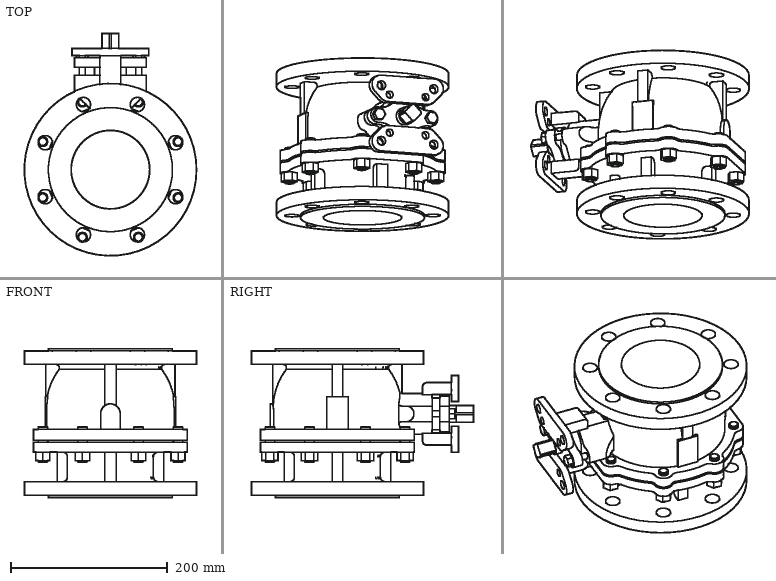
import cadquery as cq
import math


total_height = 190.0
bore_radius = 50.0

flange_radius = 220.0 / 2
flange_thickness = 17.3
raised_face_radius = 79.2
raised_face_height = 2.8
flange_bolt_circle_radius = 90.0
flange_hole_diameter = 18.2
bolt_count = 8
hex_sides = 6

joint_bolt_circle_radius = 93.5
joint_lobe_radius = 12.0
joint_disc_radius = 95.0
joint_fillet = 8.5
cap_plate_bottom = 58.0
cap_plate_top = 70.7
body_plate_bottom = 73.0
body_plate_top = 87.0
gasket_radius = 80.0
bolt_radius = 12.2 / 2
bolt_end_chamfer = 1.0
bolt_bottom = 45.0
bolt_top = 90.5
nut_across_flats = 18.2
nut_bottom = 47.1

cap_neck_radius = 55.5
cap_neck_fillet = 6.0
chamber_radius = 82.5
sphere_center_z = 114.2
body_neck_radius = 65.5
body_neck_fillet = 4.3

body_rib_reach = 82.6
cap_rib_reach = 68.2
x_rib_width = 13.5
y_rib_width = 15.0
side_pad_width = 27.5
side_pad_reach = 83.5
side_pad_top = 128.7
front_pad_width = 25.0
front_pad_reach = 86.0
front_pad_top = 119.5

stem_z = 106.8
ear_offset = 36.0
ear_radius = 10.0
housing_half_height = 26.0
housing_half_diagonal = 38.0
housing_ear_fillet = 7.0
housing_root_y = 56.8
housing_end_y = 120.7
ear_relief_offset = 51.7
gland_disc_radius = 45.7 / 2
gland_ear_fillet = 25.5
gland_start_y = 130.5
gland_end_y = 142.9
sleeve_radius = 20.5
stud_radius = 4.0
stud_head_across_flats = 13.0
stud_head_height = 6.8
stem_radius = 22.0 / 2
stem_square = 17.0
stem_square_start_y = 152.0
overall_length = 284
stem_length = overall_length - flange_radius

bracket_start_y = 145.5
bracket_end_y = 154.8
bracket_corner_offset = 37.0
bracket_corner_radius = 12.2
bracket_inner_edge = 15.5
outer_hole_offset = 36.0
outer_hole_diameter = 11.0
inner_hole_offset = 24.7
inner_hole_diameter = 9.0
tab_width = 27.0
tab_inner_edge = 24.5
tab_outer_edge = 40.0
tab_start_y = 108.5
tab_corner_radius = 5.7

bottom_flange_top = raised_face_height + flange_thickness
top_flange_bottom = total_height - bottom_flange_top
diagonal = math.sqrt(0.5)
half_pitch = math.pi / bolt_count
bolt_angles = [(2 * i + 1) * half_pitch for i in range(bolt_count)]


def cylinder(radius, z_start, z_end):
    return cq.Workplane("XY").workplane(offset=z_start).circle(radius).extrude(z_end - z_start)


def block(x_range, y_range, z_range):
    (x0, x1), (y0, y1), (z0, z1) = x_range, y_range, z_range
    return cq.Workplane("XY").box(x1 - x0, y1 - y0, z1 - z0, centered=False).translate((x0, y0, z0))


def stem_plane(y_start):
    """Plane across the stem axis: local x is -X, local y is Z, and the normal is +Y."""
    return cq.Workplane(cq.Plane(origin=(0, y_start, stem_z), xDir=(-1, 0, 0), normal=(0, 1, 0)))


def polar(radius, angle):
    return (radius * math.cos(angle), radius * math.sin(angle))


def ring_points(radius):
    return [polar(radius, angle) for angle in bolt_angles]


def toward(start, end, distance):
    """Point at a distance from start along the line to end."""
    ratio = distance / math.dist(start, end)
    return (start[0] + ratio * (end[0] - start[0]), start[1] + ratio * (end[1] - start[1]))


def mirrored_four_ways(outline, start_y, end_y):
    """Extrude a quadrant outline along the stem and mirror it left-right and up-down."""
    quarter = outline(stem_plane(start_y)).extrude(end_y - start_y)
    half = quarter.union(quarter.mirror("YZ"))
    return half.union(half.mirror("XY", (0, 0, stem_z)))


def pipe_flange():
    plate = cylinder(flange_radius, raised_face_height, bottom_flange_top)
    holes = (
        cq.Workplane("XY")
        .pushPoints(ring_points(flange_bolt_circle_radius))
        .circle(flange_hole_diameter / 2)
        .extrude(bottom_flange_top)
    )
    return plate.cut(holes).union(cylinder(raised_face_radius, 0, raised_face_height))


def chamber():
    sphere_top_z = sphere_center_z + math.sqrt(chamber_radius**2 - body_neck_radius**2)
    mid_angle = math.acos(body_neck_radius / chamber_radius) / 2
    arc_middle = (
        chamber_radius * math.cos(mid_angle),
        sphere_center_z + chamber_radius * math.sin(mid_angle),
    )
    return (
        cq.Workplane("XZ")
        .moveTo(0, body_plate_bottom)
        .lineTo(chamber_radius, body_plate_bottom)
        .lineTo(chamber_radius, sphere_center_z)
        .threePointArc(arc_middle, (body_neck_radius, sphere_top_z))
        .lineTo(body_neck_radius, top_flange_bottom - body_neck_fillet)
        .radiusArc((body_neck_radius + body_neck_fillet, top_flange_bottom), body_neck_fillet)
        .lineTo(0, top_flange_bottom)
        .close()
        .revolve(360, (0, 0), (0, 1))
    )


def cap_neck():
    foot_radius = cap_neck_radius + cap_neck_fillet
    return (
        cq.Workplane("XZ")
        .moveTo(0, bottom_flange_top)
        .lineTo(foot_radius, bottom_flange_top)
        .radiusArc((cap_neck_radius, bottom_flange_top + cap_neck_fillet), cap_neck_fillet)
        .lineTo(cap_neck_radius, cap_plate_bottom - cap_neck_fillet)
        .radiusArc((foot_radius, cap_plate_bottom), cap_neck_fillet)
        .lineTo(0, cap_plate_bottom)
        .close()
        .revolve(360, (0, 0), (0, 1))
    )


def rib_cross(reach, z_start, z_end):
    z_range = (z_start, z_end)
    x_ribs = block((-reach, reach), (-x_rib_width / 2, x_rib_width / 2), z_range)
    y_ribs = block((-y_rib_width / 2, y_rib_width / 2), (-reach, reach), z_range)
    return x_ribs.union(y_ribs)


def side_pads():
    return block(
        (-side_pad_reach, side_pad_reach),
        (-side_pad_width / 2, side_pad_width / 2),
        (body_plate_bottom, side_pad_top),
    )


def front_pad():
    half_width = front_pad_width / 2
    return (
        cq.Workplane("XZ")
        .moveTo(-half_width, body_plate_bottom)
        .lineTo(-half_width, front_pad_top - half_width)
        .threePointArc((0, front_pad_top), (half_width, front_pad_top - half_width))
        .lineTo(half_width, body_plate_bottom)
        .close()
        .extrude(front_pad_reach)
    )


def joint_plate(z_start, z_end):
    """Disc with a lobe at each bolt, blended by fillets and closed by flats across +Y and -Y."""
    height = z_end - z_start
    fillet_reach = joint_disc_radius + joint_fillet
    lobe_reach = joint_lobe_radius + joint_fillet
    cos_offset = (joint_bolt_circle_radius**2 + fillet_reach**2 - lobe_reach**2) / (
        2 * joint_bolt_circle_radius * fillet_reach
    )
    offset_angle = math.acos(cos_offset)
    disc = cylinder(joint_disc_radius, z_start, z_end)
    base = cq.Workplane("XY").workplane(offset=z_start)
    plate = disc.union(
        base.pushPoints(ring_points(joint_bolt_circle_radius)).circle(joint_lobe_radius).extrude(height)
    )
    for lobe_angle in bolt_angles:
        lobe = polar(joint_bolt_circle_radius, lobe_angle)
        for side in (-1, 1):
            center = polar(fillet_reach, lobe_angle + side * offset_angle)
            on_disc = toward(center, (0, 0), joint_fillet)
            on_lobe = toward(center, lobe, joint_fillet)
            web = base.polyline([(0, 0), on_disc, center, on_lobe, lobe]).close().extrude(height)
            scoop = base.center(*center).circle(joint_fillet).extrude(height)
            plate = plate.union(web.cut(scoop))
    flat_half_width = joint_bolt_circle_radius * math.sin(half_pitch)
    flat_reach = joint_bolt_circle_radius * math.cos(half_pitch) + joint_lobe_radius
    flats = block((-flat_half_width, flat_half_width), (-flat_reach, flat_reach), (z_start, z_end))
    return plate.union(flats)


def joint_bolts():
    bolt = cylinder(bolt_radius, bolt_bottom, bolt_top).faces("<Z or >Z").chamfer(bolt_end_chamfer)
    nut = (
        cq.Workplane("XY")
        .workplane(offset=nut_bottom)
        .polygon(hex_sides, nut_across_flats, circumscribed=True)
        .extrude(cap_plate_bottom - nut_bottom)
    )
    fastener = bolt.union(nut)
    bolts = cq.Workplane("XY")
    for x, y in ring_points(joint_bolt_circle_radius):
        bolts = bolts.add(fastener.translate((x, y, 0)))
    return bolts.combine()


def ears(start_y, end_y):
    """Straight bar with a round ear at each end."""
    ear_span = 2 * (ear_offset + ear_radius)
    return stem_plane(start_y).slot2D(ear_span, 2 * ear_radius).extrude(end_y - start_y)


def ear_web(fillet_x, inner_tangent, fillet, start_y, end_y):
    """Webs that blend the flat sides of both ears into the middle through concave fillets."""

    def outline(plane):
        return (
            plane.moveTo(0, 0)
            .lineTo(*inner_tangent)
            .radiusArc((fillet_x, ear_radius), -fillet)
            .lineTo(fillet_x, 0)
            .close()
        )

    return mirrored_four_ways(outline, start_y, end_y)


def stem_housing():
    length = housing_end_y - housing_root_y
    top_half_width = housing_half_diagonal - housing_half_height

    fillet_z = ear_radius + housing_ear_fillet
    fillet_x = housing_half_diagonal + housing_ear_fillet / diagonal - fillet_z
    slope_shift = housing_ear_fillet * diagonal
    slope_tangent = (fillet_x - slope_shift, fillet_z - slope_shift)

    middle = (
        stem_plane(housing_root_y)
        .polyline([
            (housing_half_diagonal, 0),
            (top_half_width, housing_half_height),
            (-top_half_width, housing_half_height),
            (-housing_half_diagonal, 0),
            (-top_half_width, -housing_half_height),
            (top_half_width, -housing_half_height),
        ])
        .close()
        .extrude(length)
    )
    web = ear_web(fillet_x, slope_tangent, housing_ear_fillet, housing_root_y, housing_end_y)
    housing = middle.union(ears(housing_root_y, housing_end_y)).union(web)

    half_width = ear_offset + ear_radius
    relief_width = housing_root_y - ear_relief_offset
    envelope = (
        cq.Workplane("XY")
        .polyline([
            (-relief_width, housing_root_y),
            (relief_width, housing_root_y),
            (half_width, half_width + ear_relief_offset),
            (half_width, housing_end_y),
            (-half_width, housing_end_y),
            (-half_width, half_width + ear_relief_offset),
        ])
        .close()
        .extrude(total_height)
    )
    return housing.intersect(envelope)


def gland():
    thickness = gland_end_y - gland_start_y
    fillet_z = ear_radius + gland_ear_fillet
    fillet_x = math.sqrt((gland_disc_radius + gland_ear_fillet) ** 2 - fillet_z**2)
    disc_tangent = toward((fillet_x, fillet_z), (0, 0), gland_ear_fillet)

    disc = stem_plane(gland_start_y).circle(gland_disc_radius).extrude(thickness)
    web = ear_web(fillet_x, disc_tangent, gland_ear_fillet, gland_start_y, gland_end_y)
    sleeve = stem_plane(housing_end_y).circle(sleeve_radius).extrude(gland_end_y - housing_end_y)
    return disc.union(ears(gland_start_y, gland_end_y)).union(web).union(sleeve)


def gland_studs():
    shanks = (
        stem_plane(housing_end_y)
        .pushPoints([(-ear_offset, 0), (ear_offset, 0)])
        .circle(stud_radius)
        .extrude(gland_end_y - housing_end_y)
    )
    heads = (
        stem_plane(gland_end_y)
        .transformed(rotate=(0, 0, 90))
        .pushPoints([(0, -ear_offset), (0, ear_offset)])
        .polygon(hex_sides, stud_head_across_flats, circumscribed=True)
        .extrude(stud_head_height)
    )
    return shanks.union(heads)


def stem():
    """Round shank ending in a square whose corners are trimmed to the shank diameter."""
    square_length = stem_length - stem_square_start_y
    shank = stem_plane(housing_end_y).circle(stem_radius).extrude(stem_square_start_y - housing_end_y)
    square = (
        stem_plane(stem_square_start_y)
        .transformed(rotate=(0, 0, 45))
        .rect(stem_square, stem_square)
        .extrude(square_length)
    )
    round_end = stem_plane(stem_square_start_y).circle(stem_radius).extrude(square_length)
    return shank.union(square.intersect(round_end))


def upper_bracket():
    corner = bracket_corner_offset
    radius = bracket_corner_radius
    leg = radius * diagonal
    outer_edge = corner + radius
    side_start = (corner + leg, corner - leg)
    side_end_z = bracket_inner_edge + radius - leg
    side_end = (side_start[0] - (side_start[1] - side_end_z), side_end_z)
    inner_x = side_end[0] - leg

    plate = (
        stem_plane(bracket_start_y)
        .moveTo(-corner, outer_edge)
        .lineTo(corner, outer_edge)
        .radiusArc(side_start, radius)
        .lineTo(*side_end)
        .radiusArc((inner_x, bracket_inner_edge), radius)
        .lineTo(-inner_x, bracket_inner_edge)
        .radiusArc((-side_end[0], side_end[1]), radius)
        .lineTo(-side_start[0], side_start[1])
        .radiusArc((-corner, outer_edge), radius)
        .close()
        .extrude(bracket_end_y - bracket_start_y)
    )
    for offset, diameter in (
        (outer_hole_offset, outer_hole_diameter),
        (inner_hole_offset, inner_hole_diameter),
    ):
        holes = (
            stem_plane(bracket_start_y)
            .pushPoints([(-offset, offset), (offset, offset)])
            .circle(diameter / 2)
            .extrude(bracket_end_y - bracket_start_y)
        )
        plate = plate.cut(holes)

    tab = block(
        (-tab_width / 2, tab_width / 2),
        (tab_start_y, bracket_start_y),
        (stem_z + tab_inner_edge, stem_z + tab_outer_edge),
    )
    tab = tab.edges("|X and <Y and >Z").fillet(tab_corner_radius)
    return plate.union(tab)


bottom_flange = pipe_flange()
top_flange = bottom_flange.mirror("XY", (0, 0, total_height / 2))
bracket = upper_bracket()

parts = [
    top_flange,
    cap_neck(),
    chamber(),
    rib_cross(cap_rib_reach, bottom_flange_top, cap_plate_bottom),
    rib_cross(body_rib_reach, body_plate_top, top_flange_bottom),
    side_pads(),
    front_pad(),
    joint_plate(cap_plate_bottom, cap_plate_top),
    cylinder(gasket_radius, cap_plate_top, body_plate_bottom),
    joint_plate(body_plate_bottom, body_plate_top),
    joint_bolts(),
    stem_housing(),
    gland(),
    gland_studs(),
    stem(),
    bracket,
    bracket.mirror("XY", (0, 0, stem_z)),
]

valve = bottom_flange
for part in parts:
    valve = valve.union(part)
result = valve.cut(cylinder(bore_radius, 0, total_height))